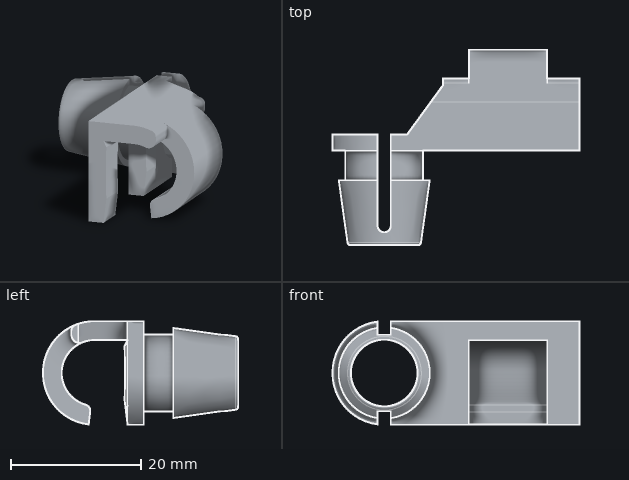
import math

import cadquery as cq


half_height = 7.97
plate_end_x = 30.0
plate_thickness = 2.5

bore_radius = 5.1
neck_radius = 6.0
neck_length = 4.5
cone_base_radius = 7.0
cone_tip_radius = 5.6
sleeve_length = 14.5
tip_round = 0.5
slot_width = 2.0
slot_depth = 12.5

hook_outer_radius = half_height
hook_inner_radius = 5.05
hook_back_y = 15.5
hook_center_y = hook_back_y - hook_outer_radius
finger_start_x = 13.0
finger_end_x = 25.0
finger_tip_angle = 6.5
roof_start_x = 9.0
roof_end_y = 11.1
finger_round = 1.0
roof_outer_round = 1.0
roof_inner_round = 1.25

slant_start_x = 3.5
slant_end_y = 10.03

pad_start_x = 8.0
pad_ramp_length = 1.0
pad_ridge_y = 2.97
pad_hollow_y = 2.87
pad_ridge_z = 4.1


def y_cylinder(radius, y_start, y_end):
    """Solid cylinder on the sleeve axis."""
    return cq.Workplane("XZ", origin=(0, y_start, 0)).circle(radius).extrude(y_start - y_end)


def x_box(x_start, x_end, y_start, y_end, z_start, z_end):
    """Box given by its limits along the three axes."""
    size = (x_end - x_start, y_end - y_start, z_end - z_start)
    return cq.Workplane(origin=(x_start, y_start, z_start)).box(*size, centered=False)


def hook_point(radius, angle):
    """(Y, Z) at an angle in degrees from +Y, about the hook centre."""
    turn = math.radians(angle)
    return (hook_center_y + radius * math.cos(turn), radius * math.sin(turn))


def make_plate():
    """Flat plate with a round flange around the sleeve."""
    flange = y_cylinder(half_height, 0, plate_thickness)
    plate = x_box(0, plate_end_x, 0, plate_thickness, -half_height, half_height)
    return flange.union(plate)


def make_sleeve():
    """Neck and tapered snap head with a rounded tip, in one revolved body."""
    head = (
        cq.Workplane("XY")
        .moveTo(0, 0)
        .lineTo(neck_radius, 0)
        .lineTo(neck_radius, -neck_length)
        .lineTo(cone_base_radius, -neck_length)
        .lineTo(cone_tip_radius, -sleeve_length)
        .lineTo(0, -sleeve_length)
        .close()
        .revolve(360, (0, 0, 0), (0, 1, 0))
    )
    return head.faces("<Y").edges().fillet(tip_round)


def make_slot_cutter():
    """Round-ended slot that splits the flange and most of the sleeve."""
    half_width = slot_width / 2
    round_center_y = half_width - slot_depth
    return (
        cq.Workplane("XY", origin=(0, 0, -half_height))
        .moveTo(-half_width, plate_thickness)
        .lineTo(-half_width, round_center_y)
        .threePointArc((0, -slot_depth), (half_width, round_center_y))
        .lineTo(half_width, plate_thickness)
        .close()
        .extrude(2 * half_height)
    )


def make_roof():
    """Top wall that bends into the hook and ends in a rounded edge."""
    reach = roof_end_y - hook_center_y
    outer_end = math.degrees(math.acos(reach / hook_outer_radius))
    inner_end = math.degrees(math.acos(reach / hook_inner_radius))
    roof = (
        cq.Workplane("YZ")
        .moveTo(0, hook_inner_radius)
        .lineTo(hook_center_y, hook_inner_radius)
        .threePointArc(
            hook_point(hook_inner_radius, (90 + inner_end) / 2),
            hook_point(hook_inner_radius, inner_end),
        )
        .lineTo(*hook_point(hook_outer_radius, outer_end))
        .threePointArc(
            hook_point(hook_outer_radius, (90 + outer_end) / 2),
            hook_point(hook_outer_radius, 90),
        )
        .lineTo(0, half_height)
        .close()
        .extrude(plate_end_x)
    )
    roof = roof.faces(">Y").edges("|X and >Z").fillet(roof_outer_round)
    roof = roof.faces(">Y").edges("|X and <Z").fillet(roof_inner_round)
    return roof.cut(make_slant_cutter())


def make_slant_cutter():
    """Removes the roof corner beside the sleeve."""
    return (
        cq.Workplane("XY", origin=(0, 0, -half_height))
        .moveTo(0, plate_thickness)
        .lineTo(slant_start_x, plate_thickness)
        .lineTo(roof_start_x, slant_end_y)
        .lineTo(roof_start_x, roof_end_y)
        .lineTo(0, roof_end_y)
        .close()
        .extrude(2 * half_height)
    )


def make_finger():
    """Hook finger: an arc band from the roof round to its tip, rounded on the inner tip edge."""
    tip = finger_tip_angle - 90
    middle = (90 + tip) / 2
    finger = (
        cq.Workplane("YZ", origin=(finger_start_x, 0, 0))
        .moveTo(*hook_point(hook_outer_radius, 90))
        .threePointArc(hook_point(hook_outer_radius, middle), hook_point(hook_outer_radius, tip))
        .lineTo(*hook_point(hook_inner_radius, tip))
        .threePointArc(hook_point(hook_inner_radius, middle), hook_point(hook_inner_radius, 90))
        .close()
        .extrude(finger_end_x - finger_start_x)
    )
    inner_tip = cq.selectors.NearestToPointSelector(
        ((finger_start_x + finger_end_x) / 2, *hook_point(hook_inner_radius, tip))
    )
    return finger.edges("|X").edges(inner_tip).fillet(finger_round)


def make_pad():
    """Slightly hollow pad behind the plate, with a ramp on the side facing the sleeve."""
    pad = (
        cq.Workplane("YZ", origin=(pad_start_x, 0, 0))
        .moveTo(0, -half_height)
        .lineTo(plate_thickness, -half_height)
        .lineTo(pad_ridge_y, -pad_ridge_z)
        .threePointArc((pad_hollow_y, 0), (pad_ridge_y, pad_ridge_z))
        .lineTo(plate_thickness, hook_inner_radius)
        .lineTo(0, hook_inner_radius)
        .close()
        .extrude(plate_end_x - pad_start_x)
    )
    ramp_cutter = (
        cq.Workplane("XY", origin=(0, 0, -half_height))
        .moveTo(pad_start_x, plate_thickness)
        .lineTo(pad_start_x + pad_ramp_length, pad_ridge_y)
        .lineTo(pad_start_x, pad_ridge_y)
        .close()
        .extrude(2 * half_height)
    )
    return pad.cut(ramp_cutter)


def make_window_cutter():
    """Opening in the plate below the roof, in front of the finger."""
    return x_box(finger_start_x, finger_end_x, 0, pad_ridge_y, -half_height, hook_inner_radius)


body = make_plate().union(make_pad()).cut(make_window_cutter())
body = body.union(make_roof()).union(make_finger()).union(make_sleeve())
body = body.cut(y_cylinder(bore_radius, -sleeve_length, plate_thickness))
result = body.cut(make_slot_cutter())